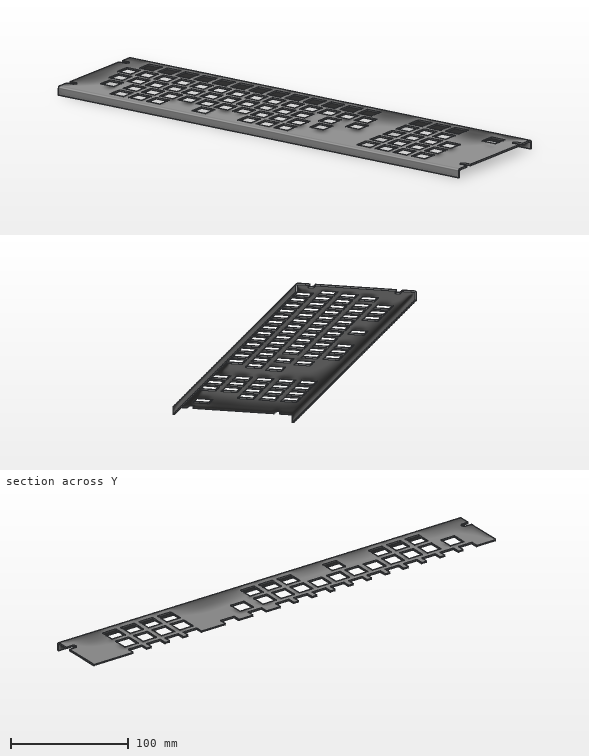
import cadquery as cq

LENGTH = 418.5
WIDTH = 106.5
HEIGHT = 8.0
THICKNESS = 1.5
BEND_INNER_RADIUS = 1.0
BEND_OUTER_RADIUS = BEND_INNER_RADIUS + THICKNESS

TWELVE_KEY_SPAN = 228.5
KEY_PITCH = TWELVE_KEY_SPAN / 12
KEY_GAP = 5.0
KEY_CUTOUT = KEY_PITCH - KEY_GAP
FIRST_KEY_X = -187.0
NUMPAD_FIRST_X = 104.3
LONE_KEY_X = 184.2
LONE_KEY_Y = 33.0

KEYBOARD_ROWS = [
    [(0.5, 13)],
    [(0, 14)],
    [(0.25, 11), (11.75, 1), (13.25, 1)],
    [(0.5, 1), (1.75, 10), (12, 1)],
    [(1.75, 3), (6.25, 1), (8.75, 3)],
]
NUMPAD_ROWS = [3, 3, 4, 4, 4]

SLOT_WIDTH = 5.0
SLOT_DEPTH = 8.5
SLOT_Y = 2 * KEY_PITCH


def row_y(row):
    """Y of a key row; the middle row lies on the centre line."""
    middle_row = (len(KEYBOARD_ROWS) - 1) / 2
    return (middle_row - row) * KEY_PITCH


def key_centers():
    """Centres of all square key openings."""
    centers = [(LONE_KEY_X, LONE_KEY_Y)]
    for row, runs in enumerate(KEYBOARD_ROWS):
        for first, count in runs:
            for key in range(count):
                centers.append((FIRST_KEY_X + (first + key) * KEY_PITCH, row_y(row)))
    for row, count in enumerate(NUMPAD_ROWS):
        for key in range(count):
            centers.append((NUMPAD_FIRST_X + key * KEY_PITCH, row_y(row)))
    return centers


def folded_panel():
    """Panel with its top at Z = 0 and a flange bent down along both long edges."""
    outer = (
        cq.Workplane("XY")
        .box(LENGTH, WIDTH, HEIGHT, centered=(True, True, False))
        .translate((0, 0, -HEIGHT))
        .edges("|X and >Z")
        .fillet(BEND_OUTER_RADIUS)
    )
    inner = (
        cq.Workplane("XY")
        .box(LENGTH, WIDTH - 2 * THICKNESS, HEIGHT - THICKNESS, centered=(True, True, False))
        .translate((0, 0, -HEIGHT))
        .edges("|X and >Z")
        .fillet(BEND_INNER_RADIUS)
    )
    return outer.cut(inner)


def key_openings():
    """Cutting bodies for the key openings."""
    return (
        cq.Workplane("XY")
        .pushPoints(key_centers())
        .rect(KEY_CUTOUT, KEY_CUTOUT)
        .extrude(-THICKNESS)
    )


def mounting_slots():
    """Cutting bodies for the four round-ended slots; their outer halves lie beyond the panel ends."""
    slot_centers = [(x, y) for x in (-LENGTH / 2, LENGTH / 2) for y in (-SLOT_Y, SLOT_Y)]
    return (
        cq.Workplane("XY")
        .pushPoints(slot_centers)
        .slot2D(2 * SLOT_DEPTH, SLOT_WIDTH)
        .extrude(-THICKNESS)
    )


result = folded_panel().cut(key_openings()).cut(mounting_slots())